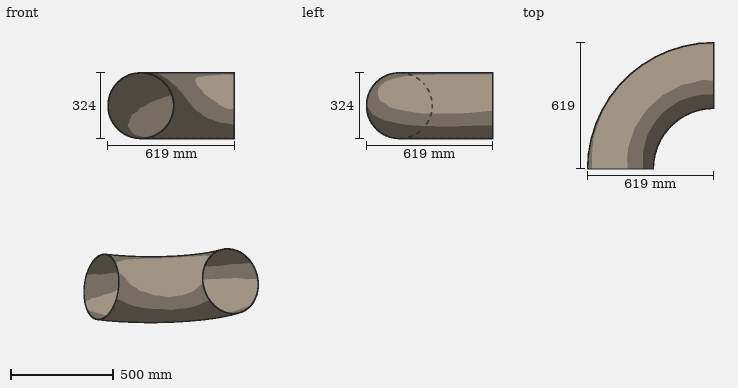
import cadquery as cq

overall_length = 619.0
outer_diameter = 324.0
wall_thickness = 3.0
bend_angle = 90.0

outer_radius = outer_diameter / 2
inner_radius = outer_radius - wall_thickness
bend_radius = overall_length - outer_radius


def pipe_elbow():
    """Sweep the pipe ring about a vertical axis at the origin, from the -X side round to the +Y side."""
    ring = cq.Workplane("XZ").center(-bend_radius, 0).circle(outer_radius).circle(inner_radius)
    axis_start = (bend_radius, 0)
    axis_end = (bend_radius, -1)
    return ring.revolve(bend_angle, axis_start, axis_end)


result = pipe_elbow()